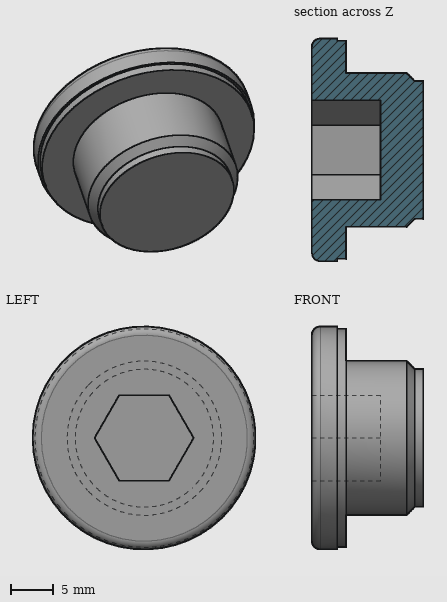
import cadquery as cq
import math

total_length = 13.0

head_diameter = 26.0
head_thickness = 3.0
head_edge_radius = 1.0

collar_diameter = 25.48
collar_thickness = 1.0

shank_diameter = 18.0
pilot_diameter = 16.1
pilot_length = 1.0

socket_across_flats = 10.0
socket_depth = 8.0

collar_end = head_thickness + collar_thickness
pilot_start = total_length - pilot_length
shank_taper_length = (shank_diameter - pilot_diameter) / 2


def cylinder(diameter, start, end):
    """Solid cylinder on the X axis between two X positions."""
    return cq.Workplane("YZ", origin=(start, 0, 0)).circle(diameter / 2).extrude(end - start)


def make_head():
    return cylinder(head_diameter, 0, head_thickness).faces("<X").edges().fillet(head_edge_radius)


def make_shank():
    shank = cylinder(shank_diameter, collar_end, pilot_start)
    return shank.faces(">X").edges().chamfer(shank_taper_length)


def make_socket():
    across_corners = socket_across_flats / math.cos(math.pi / 6)
    return cq.Workplane("YZ").polygon(6, across_corners).extrude(socket_depth)


collar = cylinder(collar_diameter, head_thickness, collar_end)
pilot = cylinder(pilot_diameter, pilot_start, total_length)

result = make_head().union(collar).union(make_shank()).union(pilot).cut(make_socket())